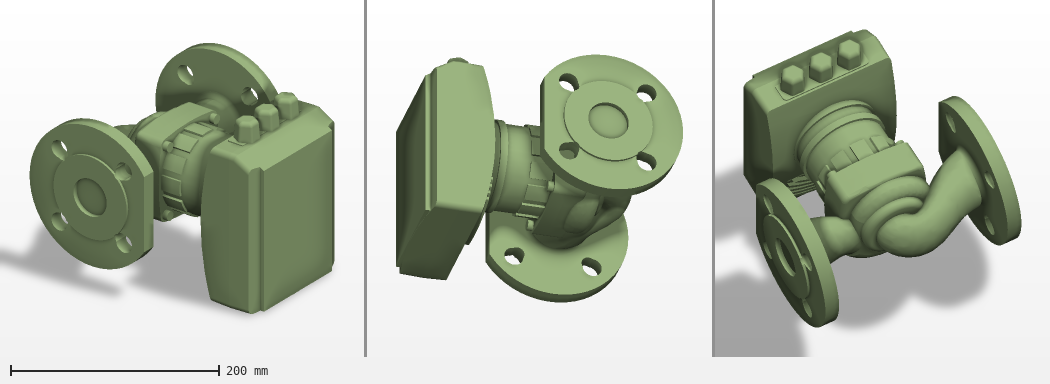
import cadquery as cq
import math


face_to_face = 220.0
flange_radius = 75.0
flange_thickness = 15.0
raised_face_radius = 44.0
raised_face_height = 2.7
flange_flat_x = 63.0
port_radius = 20.0
port_depth = 5.3
bolt_holes = [(55.0, 9.5), (50.0, 7.0)]

neck_length = 5.3
inlet_radius = 27.0
inlet_offset_x = -2.0
outlet_radius = 25.5

flange_outer_y = face_to_face / 2 - raised_face_height
flange_inner_y = flange_outer_y - flange_thickness
neck_end_y = flange_inner_y - neck_length

volute_half_width = 13.5
volute_rounding = 10.9
volute_start_angle = 28.0
volute_sweep = 300.0
volute_start_radius = 41.0
volute_growth = 16.5
volute_points = 24
disc_radius = 34.5
disc_front_x = -22.5
disc_rounding = 5.5

joint_front_x = 3.0
joint_split_x = 22.0
joint_back_x = 35.5
joint_half_side = 47.9
joint_corner = 43.5
joint_corner_radius = 8.0
joint_front_rounding = 4.0

motor_radius = 42.0
motor_end_x = 100.3
pad_count = 12
pad_width = 16.0
pad_radius = 44.5
pad_end_x = 58.0
screw_offset = 37.0
screw_radius = 5.0
screw_end_x = 41.0
band_start_x = 82.0
band_end_x = 89.0
band_radius = 45.0

box_half_width = 68.6
box_bottom_z = -95.7
box_top_z = 71.3
box_parting_x = 135.8
box_draft = 1.5
box_corner_radius = 5.8
box_rear_x = 101.0
box_front_x = 166.8
rear_bow_radius = 273.1
rear_bow_z = -12.0
collar_radius = band_radius

slope_start_x = 142.4
slope_end_z = 57.3
cover_edge_x = 159.0
front_bow_height = 7.3
display_half_width = 54.0
display_bottom_z = -94.3

gland_pitch = 31.0
gland_count = 3
gland_x = 128.8
gland_top_z = 92.5
gland_across_flats = 23.0
gland_draft = 4.0
gland_edge_radius = 3.0
gland_top_rounding = 4.8
gland_pad_start_x = 116.0
gland_pad_half_width = 46.6
gland_pad_height = 1.0
gland_pad_corner = 3.9

grille_left_y = 51.5
grille_right_y = -22.7
grille_top_z = -motor_radius
grille_base_height = 0.5
fin_count = 6
fin_height = 3.0
fin_first_z = -48.8
fin_last_z = -79.8
fin_pitch = (fin_first_z - fin_last_z) / (fin_count - 1)
fin_first_arc_radius = 72.5
fin_arc_radius_step = 17.0
fin_projection = 6.5
grille_root_x = 116.0

cut_margin = 2.5


def x_cylinder(radius, start_x, end_x):
    return cq.Workplane("YZ", origin=(start_x, 0, 0)).circle(radius).extrude(end_x - start_x)


def pipe_flange(port_side):
    """Flange with raised face, shallow port and oval bolt holes; port_side is -1 or +1 along Y."""
    plane = cq.Plane(origin=(0, port_side * flange_inner_y, 0), xDir=(1, 0, 0), normal=(0, port_side, 0))
    total = flange_thickness + raised_face_height
    flange = cq.Workplane(plane).circle(flange_radius).extrude(flange_thickness)
    flange = flange.union(cq.Workplane(plane).circle(raised_face_radius).extrude(total))
    for circle_radius, hole_radius in bolt_holes:
        holes = cq.Workplane(plane).polarArray(circle_radius, 45, 360, 4).circle(hole_radius).extrude(total)
        flange = flange.cut(holes)
    port = cq.Workplane(plane).workplane(offset=total - port_depth).circle(port_radius).extrude(port_depth)
    flange = flange.cut(port)
    beyond_flat = cq.Workplane("XY").box(flange_radius, face_to_face, 2 * flange_radius)
    return flange.cut(beyond_flat.translate((flange_flat_x + flange_radius / 2, 0, 0)))


def pipe_neck(side, radius, offset_x):
    """Short flared neck between a flange and its pipe."""
    flare_middle = math.sin(math.radians(45)) * neck_length
    middle = (radius + neck_length - flare_middle, side * (neck_end_y + flare_middle))
    return (
        cq.Workplane("XY")
        .moveTo(0, side * neck_end_y)
        .lineTo(radius, side * neck_end_y)
        .threePointArc(middle, (radius + neck_length, side * flange_inner_y))
        .lineTo(0, side * flange_inner_y)
        .close()
        .revolve(360, (0, 0, 0), (0, 1, 0))
        .translate((offset_x, 0, 0))
    )


def lofted_pipe(sections, across):
    """Pipe through elliptical sections, each (centre, direction, radius along `across`, other radius)."""
    wires = []
    for centre, direction, radius_across, radius_other in sections:
        plane = cq.Plane(origin=centre, xDir=across, normal=direction)
        wires.append(cq.Workplane(plane).ellipse(radius_across, radius_other).wires().val())
    return cq.Workplane(cq.Solid.makeLoft(wires))


def inlet_pipe():
    """Pipe that leans forward from the inlet flange and turns into the disc along X."""
    sections = [
        ((inlet_offset_x, -neck_end_y, 0), (0, 1, 0), inlet_radius, inlet_radius),
        ((-14.3, -63.3, 0), (-0.5, 0.87, 0), 27.0, 23.2),
        ((-27.8, -42.8, 0), (-0.5, 0.87, 0), 26.8, 19.0),
        ((-38.0, -23.0, 0), (0, 1, 0), 25.5, 18.0),
        ((-34.3, -4.5, 0), (0.7, 0.7, 0), 23.2, 20.0),
        ((-17, 0.5, 0), (1, 0, 0), 21.8, 21.0),
    ]
    return lofted_pipe(sections, (0, 0, 1))


def outlet_pipe():
    """Pipe that narrows from the outlet flange and dips into the lower end of the volute."""
    sections = [
        ((0, neck_end_y, 0), (0, -1, 0), outlet_radius, outlet_radius),
        ((0, 69.0, -0.7), (0, -1, -0.1), 22.7, 25.4),
        ((0, 48.3, -8.7), (0, -0.87, -0.5), 16.7, 21.3),
        ((0, 31.5, -23.0), (0, -0.7, -0.7), 13.3, 17.0),
    ]
    return lofted_pipe(sections, (1, 0, 0))


def spiral_point(fraction):
    """Point (Y, Z) on the volute outline, which grows from the cutwater over the top and round."""
    angle = math.radians(volute_start_angle + volute_sweep * fraction)
    radius = volute_start_radius + volute_growth * fraction
    return (radius * math.cos(angle), radius * math.sin(angle))


def volute():
    outline = [spiral_point(i / volute_points) for i in range(volute_points + 1)]
    return (
        cq.Workplane("YZ", origin=(-volute_half_width, 0, 0))
        .spline(outline)
        .close()
        .extrude(2 * volute_half_width)
        .faces("<X or >X")
        .edges()
        .fillet(volute_rounding)
    )


def joint_plate(start_x, end_x):
    """Square plate with four bowed sides and rounded corners."""
    side, corner = joint_half_side, joint_corner
    return (
        cq.Workplane("YZ", origin=(start_x, 0, 0))
        .moveTo(-corner, -corner)
        .threePointArc((0, -side), (corner, -corner))
        .threePointArc((side, 0), (corner, corner))
        .threePointArc((0, side), (-corner, corner))
        .threePointArc((-side, 0), (-corner, -corner))
        .close()
        .extrude(end_x - start_x)
        .edges("|X")
        .fillet(joint_corner_radius)
    )


def pump_casing():
    casing = joint_plate(joint_front_x, joint_split_x).faces("<X").edges().fillet(joint_front_rounding)
    casing = casing.union(volute())
    disc = x_cylinder(disc_radius, disc_front_x, joint_front_x)
    casing = casing.union(disc.faces("<X").edges().fillet(disc_rounding))
    casing = casing.union(inlet_pipe()).union(outlet_pipe())
    casing = casing.union(pipe_neck(-1, inlet_radius, inlet_offset_x))
    casing = casing.union(pipe_neck(1, outlet_radius, 0))
    return casing.union(pipe_flange(-1)).union(pipe_flange(1))


def motor_pads():
    """Shallow raised pads around the motor behind the joint plate."""
    length = pad_end_x - joint_back_x
    pads = x_cylinder(motor_radius, joint_back_x, pad_end_x)
    bar = cq.Workplane("YZ", origin=(joint_back_x, 0, 0)).rect(2 * pad_radius, pad_width).extrude(length)
    for i in range(pad_count // 2):
        pads = pads.union(bar.rotate((0, 0, 0), (1, 0, 0), i * 360 / pad_count))
    return pads.intersect(x_cylinder(pad_radius, joint_back_x, pad_end_x))


def motor_housing():
    motor = joint_plate(joint_split_x, joint_back_x)
    motor = motor.union(x_cylinder(motor_radius, joint_back_x, motor_end_x))
    motor = motor.union(x_cylinder(band_radius, band_start_x, band_end_x))
    screws = (
        cq.Workplane("YZ", origin=(joint_back_x, 0, 0))
        .rect(2 * screw_offset, 2 * screw_offset, forConstruction=True)
        .vertices()
        .circle(screw_radius)
        .extrude(screw_end_x - joint_back_x)
    )
    return motor.union(motor_pads()).union(screws)


def drafted_box(depth):
    """Box half from the parting plane; a negative depth runs towards the motor."""
    middle_z = (box_top_z + box_bottom_z) / 2
    return (
        cq.Workplane("YZ", origin=(box_parting_x, 0, middle_z))
        .rect(2 * box_half_width, box_top_z - box_bottom_z)
        .extrude(depth, taper=box_draft)
    )


def round_long_edges(half):
    """Round the drafted edges of a box half that run from the parting plane outwards."""
    return half.edges("not(|Y or |Z)").fillet(box_corner_radius)


def rear_bow(offset):
    """Large cylinder along Y whose near side is the bowed rear of the box, moved out by offset."""
    return (
        cq.Workplane("XZ", origin=(box_rear_x + rear_bow_radius, 0, rear_bow_z))
        .circle(rear_bow_radius + offset)
        .extrude(box_half_width + cut_margin, both=True)
    )


def rear_bow_x(z):
    """X of the bowed rear of the box at height z."""
    return box_rear_x + rear_bow_radius - math.sqrt(rear_bow_radius**2 - (z - rear_bow_z) ** 2)


def fin_disc(bottom_z, arc_radius, start_x):
    """Disc along X whose curved underside is lowest at bottom_z on the centre plane."""
    plane = cq.Workplane("YZ", origin=(start_x, 0, bottom_z + arc_radius))
    return plane.circle(arc_radius).extrude(grille_root_x - start_x)


def grille_fin(index):
    """Curved fin; each lower fin is flatter and starts further back than the one above."""
    bottom_z = fin_first_z - index * fin_pitch
    arc_radius = fin_first_arc_radius + index * fin_arc_radius_step
    start_x = rear_bow_x(bottom_z + fin_height / 2) - fin_projection
    fin = fin_disc(bottom_z, arc_radius, start_x)
    return fin.cut(fin_disc(bottom_z + fin_height, arc_radius, start_x))


def grille():
    """Fins on a thin base that follows the bowed rear of the box, inside an upright rectangle."""
    width = grille_left_y - grille_right_y
    height = grille_top_z - fin_last_z
    window = (
        cq.Workplane("XY", origin=(joint_back_x, grille_right_y, fin_last_z))
        .box(grille_root_x - joint_back_x, width, height, centered=False)
    )
    last_arc_radius = fin_first_arc_radius + (fin_count - 1) * fin_arc_radius_step
    bars = fin_disc(fin_last_z, last_arc_radius, joint_back_x).intersect(rear_bow(grille_base_height))
    for i in range(fin_count):
        bars = bars.union(grille_fin(i))
    return bars.intersect(window)


def gland(y):
    """Tapered hexagonal cable gland with rounded edges and top."""
    base_z = box_top_z + gland_pad_height
    across_corners = gland_across_flats / math.cos(math.radians(30))
    return (
        cq.Workplane("XY", origin=(gland_x, y, base_z))
        .transformed(rotate=(0, 0, 30))
        .polygon(6, across_corners)
        .extrude(gland_top_z - base_z, taper=gland_draft)
        .edges("not(#Z)")
        .fillet(gland_edge_radius)
        .faces(">Z")
        .edges()
        .fillet(gland_top_rounding)
    )


def gland_pad():
    root_depth = 2 * box_corner_radius
    height = root_depth + gland_pad_height
    length = box_parting_x - gland_pad_start_x
    return (
        cq.Workplane("XY", origin=(gland_pad_start_x, 0, box_top_z - root_depth))
        .box(length, 2 * gland_pad_half_width, height, centered=(False, True, False))
        .edges("|Z and <X")
        .fillet(gland_pad_corner)
    )


def box_rear():
    rear = round_long_edges(drafted_box(box_rear_x - box_parting_x))
    rear = rear.intersect(rear_bow(0))
    rear = rear.union(x_cylinder(collar_radius, motor_end_x, grille_root_x))
    rear = rear.union(grille()).union(gland_pad())
    first_y = -gland_pitch * (gland_count - 1) / 2
    for i in range(gland_count):
        rear = rear.union(gland(first_y + i * gland_pitch))
    return rear


def above_slope():
    """Wedge removed above the sloping top of the cover."""
    slope = (slope_end_z - box_top_z) / (box_front_x - slope_start_x)
    past_x = box_front_x + cut_margin
    return (
        cq.Workplane("XZ")
        .moveTo(slope_start_x, box_top_z)
        .lineTo(past_x, box_top_z + slope * (past_x - slope_start_x))
        .lineTo(past_x, box_top_z + cut_margin)
        .lineTo(slope_start_x, box_top_z + cut_margin)
        .close()
        .extrude(box_half_width + cut_margin, both=True)
    )


def front_bow():
    """Prism with the bowed front of the cover, in plan."""
    return (
        cq.Workplane("XY", origin=(0, 0, box_bottom_z - cut_margin))
        .moveTo(box_parting_x, -box_half_width)
        .lineTo(cover_edge_x, -box_half_width)
        .threePointArc((cover_edge_x + front_bow_height, 0), (cover_edge_x, box_half_width))
        .lineTo(box_parting_x, box_half_width)
        .close()
        .extrude(box_top_z - box_bottom_z + 2 * cut_margin)
    )


def box_cover():
    cover = round_long_edges(drafted_box(box_front_x - box_parting_x).cut(above_slope()))
    cover = cover.intersect(front_bow())
    display = (
        cq.Workplane("XY", origin=(box_parting_x, 0, display_bottom_z))
        .box(
            box_front_x - box_parting_x,
            2 * display_half_width,
            box_top_z - box_corner_radius - display_bottom_z,
            centered=(False, True, False),
        )
        .cut(above_slope())
    )
    return cover.union(display)


casing = pump_casing()
motor = motor_housing()
rear = box_rear()
cover = box_cover()

result = cq.Compound.makeCompound([
    casing.solids().val(),
    motor.solids().val(),
    rear.solids().val(),
    cover.solids().val(),
])